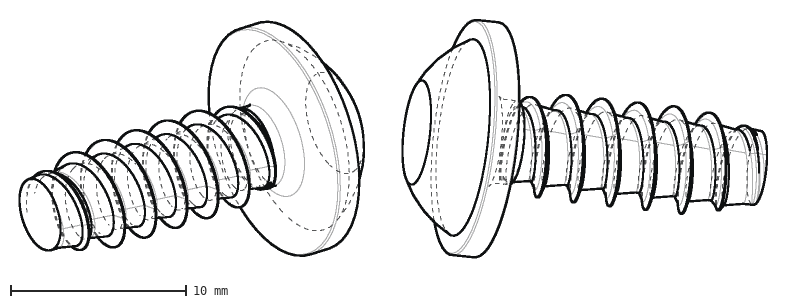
import cadquery as cq
import math

length = 20.2
core_radius = 2.1
tip_height = 0.05

flange_radius = 6.75
flange_thickness = 1.45
flange_edge_round = 0.1
dome_height = 2.75
dome_top_radius = 2.99
dome_base_radius = 5.64

collar_radius = 2.4
collar_fillet = 0.8
collar_length = 0.7

thread_span = 12.79
span_turns = 6
pitch = thread_span / span_turns
crest_radius = 3.03
crest_half_width = 0.03
land_radius = 2.3
land_start = -0.28
land_end = -1.55
flank_knee = 0.18
flank_end = 0.48
knee_fraction = 0.5
foot_radius = 2.08
root_radius = 1.98
crest_at_plus_x = 1.65
run_out_rate = 0.25
land_rise_rate = 0.12
upper_run_out_end = 16.15
samples_per_segment = 12
segment_turns = 0.5
segment_count = 17
first_turn = -1.5

dome_base = length - dome_height
flange_bottom = dome_base - flange_thickness
collar_top = flange_bottom - collar_fillet
collar_bottom = collar_top - collar_length


def revolved_body():
    """Head, flange, filleted collar, core and shallow conical tip."""
    sphere_center = dome_base + (
        dome_height**2 + dome_top_radius**2 - dome_base_radius**2
    ) / (2 * dome_height)
    sphere_radius = math.hypot(dome_base_radius, dome_base - sphere_center)
    dome_mid = dome_base + dome_height / 2
    dome_mid_radius = math.sqrt(sphere_radius**2 - (dome_mid - sphere_center) ** 2)
    fillet_mid = collar_fillet * (1 - math.sqrt(0.5))
    edge_mid = flange_edge_round * (1 - math.sqrt(0.5))
    rim_inner = flange_radius - flange_edge_round
    profile = (
        cq.Workplane("XY")
        .moveTo(0, 0)
        .lineTo(core_radius, tip_height)
        .lineTo(core_radius, collar_bottom)
        .lineTo(collar_radius, collar_bottom)
        .lineTo(collar_radius, collar_top)
        .threePointArc(
            (collar_radius + fillet_mid, flange_bottom - fillet_mid),
            (collar_radius + collar_fillet, flange_bottom),
        )
        .lineTo(rim_inner, flange_bottom)
        .threePointArc(
            (flange_radius - edge_mid, flange_bottom + edge_mid),
            (flange_radius, flange_bottom + flange_edge_round),
        )
        .lineTo(flange_radius, dome_base - flange_edge_round)
        .threePointArc((flange_radius - edge_mid, dome_base - edge_mid), (rim_inner, dome_base))
        .lineTo(dome_base_radius, dome_base)
        .threePointArc((dome_mid_radius, dome_mid), (dome_top_radius, length))
        .lineTo(0, length)
        .close()
    )
    return profile.revolve(360, (0, 0, 0), (0, 1, 0))


def thread_section(height):
    """Closed (radius, axial offset) section of the thread at a crest height."""
    lower_run_out = core_radius + run_out_rate * height
    upper_run_out = core_radius + run_out_rate * (upper_run_out_end - height)
    crest = min(crest_radius, lower_run_out, upper_run_out)
    land = min(land_radius, core_radius + land_rise_rate * max(height, 0))
    crest = max(crest, land)
    knee = core_radius + knee_fraction * (crest - core_radius)
    return [
        (root_radius, land_end),
        (foot_radius, land_end),
        (land, land_start),
        (crest, -crest_half_width),
        (crest, crest_half_width),
        (knee, flank_knee),
        (foot_radius, flank_end),
        (root_radius, flank_end),
    ]


def thread_point(turn, corner):
    """Position of one section corner after a number of right-hand turns from +X."""
    angle = 2 * math.pi * turn
    height = crest_at_plus_x + pitch * turn
    radius, offset = thread_section(height)[corner]
    return cq.Vector(radius * math.cos(angle), height + offset, -radius * math.sin(angle))


def thread_segment(start_turn):
    """Half-turn of right-hand thread, bounded by ruled faces between corner helices."""
    turns = [
        start_turn + segment_turns * sample / samples_per_segment
        for sample in range(samples_per_segment + 1)
    ]
    corner_count = len(thread_section(0))
    helices = [
        cq.Edge.makeSpline([thread_point(turn, corner) for turn in turns])
        for corner in range(corner_count)
    ]
    faces = [
        cq.Face.makeRuledSurface(helices[corner - 1], helices[corner])
        for corner in range(corner_count)
    ]
    for turn in (turns[0], turns[-1]):
        outline = [thread_point(turn, corner) for corner in range(corner_count)]
        faces.append(cq.Face.makeFromWires(cq.Wire.makePolygon(outline, close=True)))
    return cq.Solid.makeSolid(cq.Shell.makeShell(faces)).fix()


thread_zone = cq.Workplane("XZ", origin=(0, tip_height, 0)).circle(flange_radius).extrude(-length)
result = revolved_body()
for segment in range(segment_count):
    half_turn = thread_segment(first_turn + segment * segment_turns)
    piece = thread_zone.intersect(cq.Workplane(obj=half_turn))
    if piece.solids().size() > 0:
        result = result.union(piece)